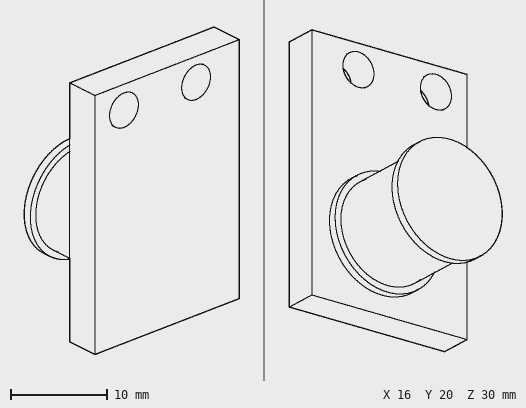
import cadquery as cq

plate_thickness = 4.0
plate_width = 20.0
plate_height = 30.0

boss_length = 12.0
core_diameter = 12.0
flange_diameter = 13.5
flange_thickness = 1.0
boss_y = 1.0
boss_z = 9.0

hole_diameter = 4.0
hole_spacing = 10.0
hole_pair_y = -1.0
hole_top_margin = 3.0
hole_z = plate_height - hole_top_margin


def disc(diameter, start_x, length, y, z):
    """Cylinder along X, running from start_x towards +X."""
    axis_plane = cq.Plane(origin=(start_x, y, z), xDir=(0, 1, 0), normal=(1, 0, 0))
    return cq.Workplane(axis_plane).circle(diameter / 2).extrude(length)


def make_plate():
    plate = cq.Workplane("XY").box(
        plate_thickness, plate_width, plate_height, centered=(False, True, False)
    )
    for side in (-1, 1):
        hole_y = hole_pair_y + side * hole_spacing / 2
        plate = plate.cut(disc(hole_diameter, 0, plate_thickness, hole_y, hole_z))
    return plate


def make_boss():
    boss = disc(core_diameter, -boss_length, boss_length, boss_y, boss_z)
    for flange_x in (-boss_length, -flange_thickness):
        boss = boss.union(disc(flange_diameter, flange_x, flange_thickness, boss_y, boss_z))
    return boss


result = make_plate().union(make_boss())